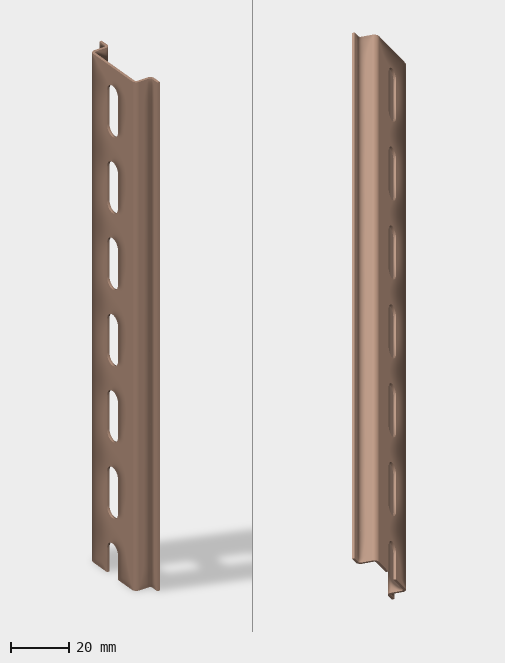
import cadquery as cq

length = 200.0
rail_width = 35.0
rail_depth = 7.5
channel_width = 27.0
thickness = 1.0
inner_bend_radius = 0.8
outer_bend_radius = inner_bend_radius + thickness

slot_width = 6.5
slot_length = 20.0
slot_pitch = 30.0
slot_count = 7
top_slot_center = length / 2 - 17.2

half_rail = rail_width / 2
half_channel = channel_width / 2
half_cavity = half_channel - thickness
web_front = -rail_depth / 2
web_back = web_front + thickness
flange_back = rail_depth / 2
flange_front = flange_back - thickness


def bend_edges(rail, corners):
    """Pick the lengthwise edges at the given profile corners, on both sides of the rail."""
    edges = rail.edges("|Z").vals()
    picked = []
    for x, y in corners:
        for side in (-1, 1):
            corner = cq.Vector(side * x, y, 0)
            picked.append(min(edges, key=lambda edge: (edge.Center() - corner).Length))
    return rail.newObject(picked)


def make_rail():
    """Bent sheet: web at -Y, side walls, and outward flanges at +Y."""
    right_side = [
        (half_channel, web_front),
        (half_channel, flange_front),
        (half_rail, flange_front),
        (half_rail, flange_back),
        (half_cavity, flange_back),
        (half_cavity, web_back),
    ]
    left_side = [(-x, y) for x, y in reversed(right_side)]
    rail = (
        cq.Workplane("XY")
        .polyline(right_side + left_side)
        .close()
        .extrude(length / 2, both=True)
    )
    outer_corners = [(half_channel, web_front), (half_cavity, flange_back)]
    inner_corners = [(half_cavity, web_back), (half_channel, flange_front)]
    rail = bend_edges(rail, outer_corners).fillet(outer_bend_radius)
    return bend_edges(rail, inner_corners).fillet(inner_bend_radius)


def make_slots():
    """Cutters for the slots; the lowest one runs out through the bottom end."""
    centers = [(0, top_slot_center - i * slot_pitch) for i in range(slot_count)]
    return (
        cq.Workplane("XZ")
        .pushPoints(centers)
        .slot2D(slot_length, slot_width, 90)
        .extrude(rail_depth, both=True)
    )


result = make_rail().cut(make_slots())